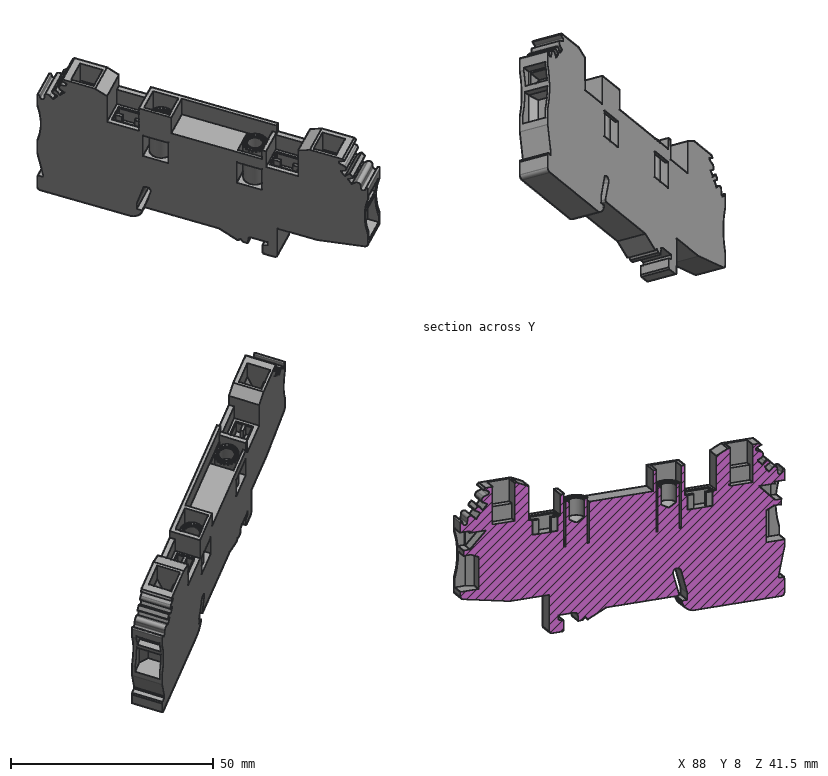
import cadquery as cq
import math


LENGTH = 88.0
THICKNESS = 8.0
HEIGHT = 41.5

FLANK_BOTTOM_Z = 17.3
FLANK_TOP_Z = 29.9
FLANK_DEPTH = 0.95
POCKET_FLOOR_Z = 31.0
POCKET_WALL_TOP_Z = 36.1
BLOCK_TOP_Z = 38.95
RAIL_SEAT_Z = 4.5
ARM_BOTTOM_Z = 10.3

HEAD_WIDTH = 18.6
BLOCK_START_X = 27.1
BLOCK_END_X = LENGTH - BLOCK_START_X
RECESS_START_X = 35.7
RECESS_END_X = 59.8

POCKET_BACK_Y = 6.6
RECESS_BACK_Y = 7.05
RECESS_FLOOR_Z = 33.4
END_WALL_TOP_Z = 36.55

WELL_START_X = 19.35
WELL_LENGTH = 7.25
WELL_START_Y = 1.3
WELL_WIDTH = 4.6
WELL_DEPTH = 4.0
WELL_LEDGE = 0.25
FIN_LENGTH = 1.7
FIN_WIDTH = 0.8

SCREW_CENTRES_X = (31.5, 56.45)
SHAFT_LENGTH = 6.7
SHAFT_START_Y = 0.75
SHAFT_WIDTH = 6.1
SHAFT_FLOOR_Z = 22.5
WINDOW_TOP_Z = 29.7
SCREW_DIAMETER = 6.0
SCREW_TOP_Z = 34.5
BORE_DIAMETER = 4.0
BORE_DEPTH = 5.0
DRILL_POINT_ANGLE = 118.0
TOOTH_COUNT = 20
TOOTH_GAP = 0.25
TOOTH_DEPTH = 0.5

TOOL_HOLE_START_X = 8.75
TOOL_HOLE_LENGTH = 6.0
TOOL_HOLE_START_Y = 0.75
TOOL_HOLE_END_Y = 6.75
TOOL_HOLE_STEP_DEPTH = 6.0
TOOL_HOLE_TAPER_DEPTH = 4.0
TOOL_FLOOR_START_Y = 2.4
TOOL_FLOOR_END_Y = 5.2

TEST_START_Y = 0.7
TEST_END_Y = 6.85
TEST_BOTTOM_Z = 25.85
TEST_TOP_Z = 30.6
TEST_MOUTH_DEPTH = 2.6
TEST_INSET = 0.5

WIRE_START_Y = 0.7
WIRE_WIDTH = 6.4
WIRE_BOTTOM_Z = 15.0
WIRE_TOP_Z = 24.3
WIRE_MOUTH_DEPTH = 2.9
WIRE_TAPER_DEPTH = 2.0
WIRE_FLOOR_START_Y = 1.55
WIRE_FLOOR_WIDTH = 3.95
WIRE_FLOOR_TOP_Z = 23.4


def extrude_profile(profile):
    """Extrude a closed XZ profile from the front face through the thickness."""
    return profile.close().extrude(-THICKNESS)


def box(x_range, y_range, z_range):
    """Axis-aligned box between three pairs of limits."""
    size = [high - low for low, high in (x_range, y_range, z_range)]
    corner = (x_range[0], y_range[0], z_range[0])
    return cq.Workplane("XY").box(*size, centered=False).translate(corner)


def on_both_ends(solid):
    """Return the solid together with its mirror image at the other end."""
    return solid.union(solid.mirror("YZ", (LENGTH / 2, 0, 0)))


def make_head():
    """Left-hand head with its bevel, marker-holder teeth and hollow flank."""
    profile = (
        cq.Workplane("XZ")
        .moveTo(HEAD_WIDTH, FLANK_BOTTOM_Z)
        .lineTo(HEAD_WIDTH, 40.05)
        .lineTo(15.45, HEIGHT)
        .lineTo(6.8, HEIGHT)
        .lineTo(6.3, 40.95)
        .lineTo(7.4, 40.5)
        .threePointArc((7.75, 40.15), (7.4, 39.6))
        .lineTo(6.3, 39.2)
        .threePointArc((5.8, 38.4), (6.2, 37.6))
        .lineTo(7.25, 37.05)
        .lineTo(6.1, 35.75)
        .lineTo(5.45, 36.5)
        .lineTo(4.85, 37.05)
        .lineTo(3.95, 36.2)
        .lineTo(4.0, 35.85)
        .lineTo(5.35, 35.0)
        .lineTo(4.3, 33.6)
        .lineTo(3.3, 34.55)
        .threePointArc((2.5, 34.7), (1.95, 34.0))
        .lineTo(1.85, 33.0)
        .threePointArc((1.33, 32.5), (0.8, 32.9))
        .lineTo(0.6, 33.5)
        .threePointArc((0.3, 33.65), (0, 33.3))
        .lineTo(0, FLANK_TOP_Z)
        .threePointArc((FLANK_DEPTH, (FLANK_TOP_Z + FLANK_BOTTOM_Z) / 2), (0, FLANK_BOTTOM_Z))
    )
    return extrude_profile(profile)


def make_core():
    """Body between the heads, with the rail foot, spring slot and rail hook."""
    profile = (
        cq.Workplane("XZ")
        .moveTo(0, FLANK_BOTTOM_Z)
        .lineTo(0, 13.0)
        .lineTo(1.6, 5.6)
        .lineTo(1.5, 5.05)
        .lineTo(0.2, 5.05)
        .lineTo(0, 4.5)
        .lineTo(0, 1.0)
        .threePointArc((0.29, 0.29), (1.0, 0))
        .lineTo(24.9, 0)
        .threePointArc((26.8, 0.9), (27.9, 2.6))
        .lineTo(27.9, 3.15)
        .lineTo(26.5, 3.15)
        .lineTo(26.5, 5.0)
        .lineTo(28.1, 10.9)
        .threePointArc((29.35, 11.85), (30.25, 10.7))
        .lineTo(28.65, 5.1)
        .threePointArc((28.65, 4.7), (29.0, RAIL_SEAT_Z))
        .lineTo(48.4, RAIL_SEAT_Z)
        .lineTo(53.4, 2.15)
        .lineTo(54.1, 2.9)
        .lineTo(54.8, 2.15)
        .lineTo(56.0, 2.15)
        .lineTo(56.15, 3.6)
        .threePointArc((56.4, 4.2), (57.0, RAIL_SEAT_Z))
        .lineTo(61.3, RAIL_SEAT_Z)
        .lineTo(61.3, 3.4)
        .lineTo(59.9, 2.9)
        .lineTo(59.9, 0.4)
        .lineTo(60.3, 0)
        .lineTo(63.1, 0)
        .threePointArc((63.65, 0.25), (63.9, 0.8))
        .lineTo(63.9, ARM_BOTTOM_Z)
        .lineTo(74.6, ARM_BOTTOM_Z)
        .lineTo(87.2, 12.8)
        .threePointArc((87.75, 13.2), (LENGTH, 13.9))
        .lineTo(LENGTH, FLANK_BOTTOM_Z)
        .lineTo(LENGTH - HEAD_WIDTH, FLANK_BOTTOM_Z)
        .lineTo(LENGTH - HEAD_WIDTH, POCKET_WALL_TOP_Z)
        .lineTo(BLOCK_END_X, POCKET_WALL_TOP_Z)
        .lineTo(BLOCK_END_X, BLOCK_TOP_Z)
        .lineTo(BLOCK_START_X, BLOCK_TOP_Z)
        .lineTo(BLOCK_START_X, POCKET_WALL_TOP_Z)
        .lineTo(HEAD_WIDTH, POCKET_WALL_TOP_Z)
        .lineTo(HEAD_WIDTH, FLANK_BOTTOM_Z)
    )
    return extrude_profile(profile)


def make_open_pocket():
    """Space cut between the left head and the central block."""
    return box(
        (HEAD_WIDTH, BLOCK_START_X), (0, POCKET_BACK_Y), (POCKET_FLOOR_Z, POCKET_WALL_TOP_Z)
    )


def make_contact_well():
    """Ledged well in the left pocket floor, leaving a fin at each end."""
    end_x = WELL_START_X + WELL_LENGTH
    end_y = WELL_START_Y + WELL_WIDTH
    middle_y = (WELL_START_Y + end_y) / 2
    ledge_z = POCKET_FLOOR_Z - WELL_LEDGE
    bottom_z = POCKET_FLOOR_Z - WELL_DEPTH
    inner_x = (WELL_START_X + WELL_LEDGE, end_x - WELL_LEDGE)
    inner_y = (WELL_START_Y + WELL_LEDGE, end_y - WELL_LEDGE)
    fin_y = (middle_y - FIN_WIDTH / 2, middle_y + FIN_WIDTH / 2)

    rim = box((WELL_START_X, end_x), (WELL_START_Y, end_y), (ledge_z, POCKET_FLOOR_Z))
    shaft = box(inner_x, inner_y, (bottom_z, ledge_z))
    left_fin = box((inner_x[0], inner_x[0] + FIN_LENGTH), fin_y, (bottom_z, ledge_z))
    right_fin = box((inner_x[1] - FIN_LENGTH, inner_x[1]), fin_y, (bottom_z, ledge_z))
    return rim.union(shaft.cut(left_fin).cut(right_fin))


def make_recess():
    """Central recess open to the front, with a low wall at its right end."""
    recess = box((RECESS_START_X, RECESS_END_X), (0, RECESS_BACK_Y), (RECESS_FLOOR_Z, BLOCK_TOP_Z))
    over_wall = box((RECESS_END_X, BLOCK_END_X), (0, RECESS_BACK_Y), (END_WALL_TOP_Z, BLOCK_TOP_Z))
    return recess.union(over_wall)


def make_screw_shaft(centre_x):
    """Rectangular shaft from above, with a window through the front face."""
    x_range = (centre_x - SHAFT_LENGTH / 2, centre_x + SHAFT_LENGTH / 2)
    y_range = (SHAFT_START_Y, SHAFT_START_Y + SHAFT_WIDTH)
    shaft = box(x_range, y_range, (SHAFT_FLOOR_Z, BLOCK_TOP_Z))
    window = box(x_range, (0, SHAFT_START_Y), (SHAFT_FLOOR_Z, WINDOW_TOP_Z))
    return shaft.union(window)


def make_screw(centre_x):
    """Bored screw with a drill-point bottom and a toothed crown."""
    radius = SCREW_DIAMETER / 2
    bore_radius = BORE_DIAMETER / 2
    bore_bottom_z = SCREW_TOP_Z - BORE_DEPTH
    point_depth = bore_radius / math.tan(math.radians(DRILL_POINT_ANGLE / 2))
    screw = (
        cq.Workplane("XZ")
        .moveTo(0, SHAFT_FLOOR_Z)
        .lineTo(radius, SHAFT_FLOOR_Z)
        .lineTo(radius, SCREW_TOP_Z)
        .lineTo(bore_radius, SCREW_TOP_Z)
        .lineTo(bore_radius, bore_bottom_z)
        .lineTo(0, bore_bottom_z - point_depth)
        .close()
        .revolve(360, (0, 0, 0), (0, 1, 0))
    )
    gap = box(
        (0, SCREW_DIAMETER),
        (-TOOTH_GAP / 2, TOOTH_GAP / 2),
        (SCREW_TOP_Z - TOOTH_DEPTH, SCREW_TOP_Z),
    )
    for tooth in range(TOOTH_COUNT):
        angle = (tooth + 0.5) * 360 / TOOTH_COUNT
        screw = screw.cut(gap.rotate((0, 0, 0), (0, 0, 1), angle))
    return screw.translate((centre_x, SHAFT_START_Y + SHAFT_WIDTH / 2, 0))


def make_tool_hole():
    """Blind stepped hole down into the left head."""
    step_z = HEIGHT - TOOL_HOLE_STEP_DEPTH
    floor_z = step_z - TOOL_HOLE_TAPER_DEPTH
    return (
        cq.Workplane("YZ", origin=(TOOL_HOLE_START_X, 0, 0))
        .moveTo(TOOL_HOLE_START_Y, HEIGHT)
        .lineTo(TOOL_HOLE_START_Y, step_z)
        .lineTo(TOOL_FLOOR_START_Y, step_z)
        .lineTo(TOOL_FLOOR_START_Y, floor_z)
        .lineTo(TOOL_FLOOR_END_Y, floor_z)
        .lineTo(TOOL_HOLE_END_Y, step_z)
        .lineTo(TOOL_HOLE_END_Y, HEIGHT)
        .close()
        .extrude(TOOL_HOLE_LENGTH)
    )


def make_test_opening():
    """Upper opening in the left end: a level mouth, then a passage with a 45 degree floor."""
    roof_z = TEST_TOP_Z - TEST_INSET
    end_x = TEST_MOUTH_DEPTH + roof_z - TEST_BOTTOM_Z
    passage_width = TEST_END_Y - TEST_START_Y - 2 * TEST_INSET
    mouth = box((0, TEST_MOUTH_DEPTH), (TEST_START_Y, TEST_END_Y), (TEST_BOTTOM_Z, TEST_TOP_Z))
    passage = (
        cq.Workplane("XZ", origin=(0, TEST_START_Y + TEST_INSET, 0))
        .moveTo(TEST_MOUTH_DEPTH, TEST_BOTTOM_Z)
        .lineTo(end_x, roof_z)
        .lineTo(TEST_MOUTH_DEPTH, roof_z)
        .close()
        .extrude(-passage_width)
    )
    return mouth.union(passage)


def make_wire_opening():
    """Lower opening in the left end: a straight mouth, then a funnel with a level floor."""
    mouth_size = (WIRE_WIDTH, WIRE_TOP_Z - WIRE_BOTTOM_Z)
    floor_size = (WIRE_FLOOR_WIDTH, WIRE_FLOOR_TOP_Z - WIRE_BOTTOM_Z)
    mouth_centre = (WIRE_START_Y + WIRE_WIDTH / 2, (WIRE_BOTTOM_Z + WIRE_TOP_Z) / 2)
    floor_centre = (
        WIRE_FLOOR_START_Y + WIRE_FLOOR_WIDTH / 2,
        (WIRE_BOTTOM_Z + WIRE_FLOOR_TOP_Z) / 2,
    )
    floor_shift = (floor_centre[0] - mouth_centre[0], floor_centre[1] - mouth_centre[1])
    mouth = cq.Workplane("YZ").center(*mouth_centre).rect(*mouth_size).extrude(WIRE_MOUTH_DEPTH)
    funnel = (
        cq.Workplane("YZ", origin=(WIRE_MOUTH_DEPTH, 0, 0))
        .center(*mouth_centre)
        .rect(*mouth_size)
        .workplane(offset=WIRE_TAPER_DEPTH)
        .center(*floor_shift)
        .rect(*floor_size)
        .loft(ruled=True)
    )
    return mouth.union(funnel)


result = make_core().union(on_both_ends(make_head())).clean()

end_cuts = (
    make_open_pocket(),
    make_contact_well(),
    make_tool_hole(),
    make_test_opening(),
    make_wire_opening(),
)
for end_cut in end_cuts:
    result = result.cut(on_both_ends(end_cut))

result = result.cut(make_recess())
for screw_x in SCREW_CENTRES_X:
    result = result.cut(make_screw_shaft(screw_x))
    result = result.union(make_screw(screw_x))